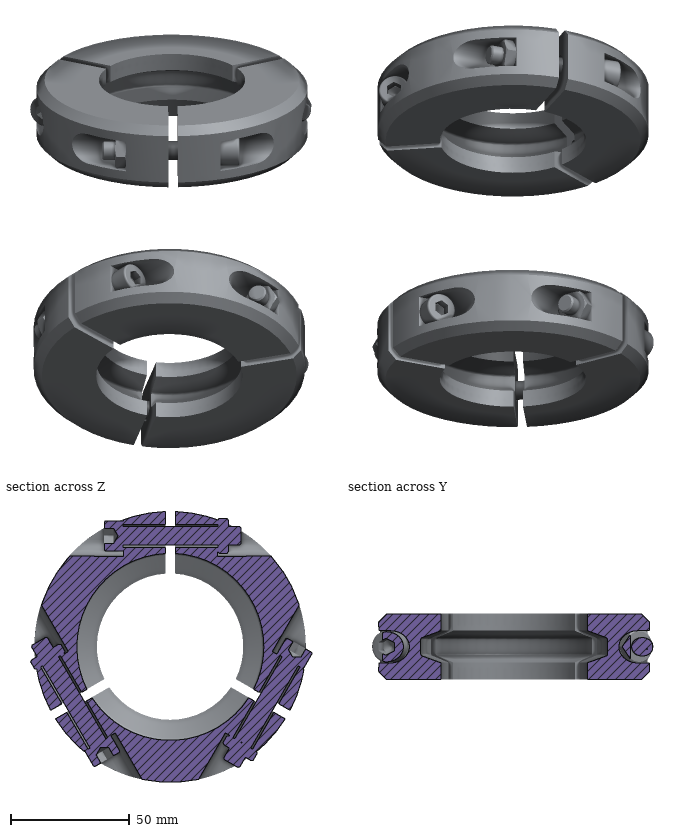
import cadquery as cq
import math

HEX_HALF_ANGLE = 30.0

OUTER_RADIUS = 57.5
BORE_RADIUS = 31.0
THICKNESS = 28.0
RIM_CHAMFER = 3.5

GROOVE_FLOOR_RADIUS = 39.5
GROOVE_MOUTH_WIDTH = 13.4
GROOVE_SIDE_ANGLE = 20.0
GROOVE_FILLET = 1.0

SPLIT_ANGLES = [90.0, 210.0, 330.0]
SPLIT_WIDTH = 4.0

SCREW_AXIS_RADIUS = 47.0
SCREW_DIAMETER = 8.0
SCREW_LENGTH = 50.0
SCREW_TIP_CHAMFER = 0.65
CLEARANCE_DIAMETER = 9.5
HEAD_DIAMETER = 13.0
HEAD_HEIGHT = 8.0
HEAD_EDGE_FILLET = 0.8
SOCKET_ACROSS_FLATS = 6.0
SOCKET_DEPTH = 4.0
SOCKET_TIP_ANGLE = 120.0

NUT_ACROSS_FLATS = 13.0
NUT_HEIGHT = 4.7
NUT_CHAMFER_ANGLE = 30.0

SEAT_DISTANCE = 20.0
POCKET_WIDTH = 13.4
POCKET_FLOOR_RADIUS = 38.5


def across_corners(across_flats):
    return across_flats / math.cos(math.radians(HEX_HALF_ANGLE))


def along_screw(start):
    """Workplane across the screw axis of a split at angle 0; extrudes toward +Y from y = start."""
    plane = cq.Plane(origin=(SCREW_AXIS_RADIUS, start, 0), xDir=(1, 0, 0), normal=(0, 1, 0))
    return cq.Workplane(plane)


def collar_ring():
    half = THICKNESS / 2
    ring = cq.Workplane("XY").circle(OUTER_RADIUS).extrude(THICKNESS).translate((0, 0, -half))
    ring = ring.edges().chamfer(RIM_CHAMFER)
    bore = cq.Workplane("XY").circle(BORE_RADIUS).extrude(THICKNESS).translate((0, 0, -half))
    return ring.cut(bore).cut(bore_groove())


def bore_groove():
    """Solid of revolution whose width tapers from the bore to a filleted floor."""
    mouth = GROOVE_MOUTH_WIDTH / 2
    taper = math.tan(math.radians(GROOVE_SIDE_ANGLE))
    floor = mouth - (GROOVE_FLOOR_RADIUS - BORE_RADIUS) * taper
    profile = [
        (0, -mouth),
        (BORE_RADIUS, -mouth),
        (GROOVE_FLOOR_RADIUS, -floor),
        (GROOVE_FLOOR_RADIUS, floor),
        (BORE_RADIUS, mouth),
        (0, mouth),
    ]
    groove = cq.Workplane("XZ").polyline(profile).close().revolve(360, (0, 0, 0), (0, 1, 0))
    floor_edges = cq.selectors.RadiusNthSelector(-1)
    return groove.edges(floor_edges).fillet(GROOVE_FILLET)


def split_gap():
    return cq.Workplane("XY").box(2 * OUTER_RADIUS, SPLIT_WIDTH, THICKNESS).translate((OUTER_RADIUS, 0, 0))


def clearance_hole():
    return along_screw(-SEAT_DISTANCE).circle(CLEARANCE_DIAMETER / 2).extrude(2 * SEAT_DISTANCE)


def seat_pocket():
    """Pocket with a half-round floor, open outward, starting at the seat face on the +Y side."""
    radius = POCKET_WIDTH / 2
    center_x = POCKET_FLOOR_RADIUS + radius
    pocket = (
        cq.Workplane("XZ", origin=(0, SEAT_DISTANCE, 0))
        .moveTo(OUTER_RADIUS, radius)
        .lineTo(center_x, radius)
        .threePointArc((POCKET_FLOOR_RADIUS, 0), (center_x, -radius))
        .lineTo(OUTER_RADIUS, -radius)
        .close()
        .extrude(SEAT_DISTANCE - OUTER_RADIUS)
    )
    return pocket


def hex_socket():
    """Hexagonal recess ending in a drilled cone."""
    corners = across_corners(SOCKET_ACROSS_FLATS)
    mouth = SEAT_DISTANCE + HEAD_HEIGHT
    turned = along_screw(mouth).transformed(rotate=(0, 0, HEX_HALF_ANGLE))
    hexagon = turned.polygon(6, corners).extrude(-SOCKET_DEPTH)
    cone_radius = SOCKET_ACROSS_FLATS / 2
    cone_height = cone_radius / math.tan(math.radians(SOCKET_TIP_ANGLE / 2))
    tip = cq.Solid.makeCone(
        cone_radius,
        0,
        cone_height,
        pnt=cq.Vector(SCREW_AXIS_RADIUS, mouth - SOCKET_DEPTH, 0),
        dir=cq.Vector(0, -1, 0),
    )
    return hexagon.union(cq.Workplane(tip))


def cap_screw():
    head = along_screw(SEAT_DISTANCE).circle(HEAD_DIAMETER / 2).extrude(HEAD_HEIGHT)
    head = head.faces(">Y").edges().fillet(HEAD_EDGE_FILLET)
    shank = along_screw(SEAT_DISTANCE - SCREW_LENGTH).circle(SCREW_DIAMETER / 2).extrude(SCREW_LENGTH)
    shank = shank.faces("<Y").edges().chamfer(SCREW_TIP_CHAMFER)
    return shank.union(head).cut(hex_socket())


def nut():
    """Hexagonal nut on the -Y seat, one corner pointing outward, both end faces chamfered."""
    corners = across_corners(NUT_ACROSS_FLATS)
    outer_face = -SEAT_DISTANCE - NUT_HEIGHT
    hexagon = along_screw(outer_face).polygon(6, corners).extrude(NUT_HEIGHT)
    corner_rise = (corners - NUT_ACROSS_FLATS) / 2
    chamfer_height = corner_rise * math.tan(math.radians(NUT_CHAMFER_ANGLE))
    envelope = along_screw(outer_face).circle(corners / 2).extrude(NUT_HEIGHT)
    envelope = envelope.edges("%CIRCLE").chamfer(chamfer_height, corner_rise)
    return hexagon.intersect(envelope)


def at_split(shape, angle):
    return shape.rotate((0, 0, 0), (0, 0, 1), angle)


head_pocket = seat_pocket()
joint_cuts = [split_gap(), clearance_hole(), head_pocket, head_pocket.mirror("XZ")]
fastener = cap_screw().union(nut())

result = collar_ring()
for split_angle in SPLIT_ANGLES:
    for joint_cut in joint_cuts:
        result = result.cut(at_split(joint_cut, split_angle))
for split_angle in SPLIT_ANGLES:
    result = result.union(at_split(fastener, split_angle))